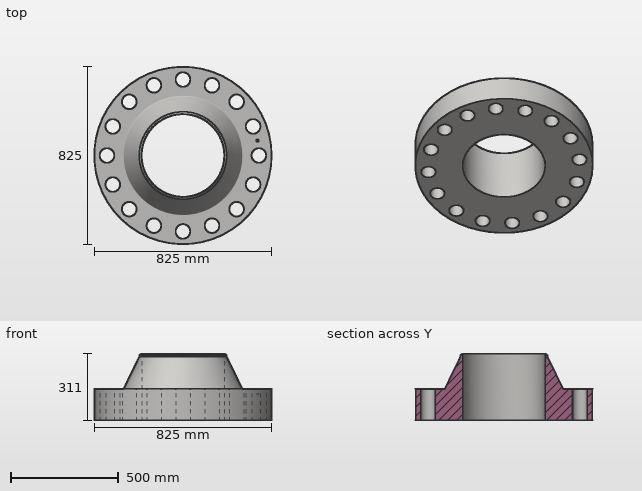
import cadquery as cq
import math

flange_diameter = 825.0
flange_thickness = 147.0
total_height = 311.0

hub_base_diameter = 552.0
neck_diameter = 407.0
bore_diameter = 383.0
hub_base_fillet = 3.0

neck_band_height = 7.5
bevel_height = 7.5
weld_land_width = 2.0

bolt_count = 16
bolt_circle_diameter = 706.0
bolt_hole_diameter = 67.0
bolt_pitch_angle = 360.0 / bolt_count

pin_hole_diameter = 6.0
pin_hole_depth = 25.0
countersink_diameter = 11.5
countersink_depth = 2.5
pin_hole_angle = bolt_pitch_angle / 2

flange_radius = flange_diameter / 2
hub_base_radius = hub_base_diameter / 2
neck_radius = neck_diameter / 2
bore_radius = bore_diameter / 2
bolt_circle_radius = bolt_circle_diameter / 2
pin_hole_radius = pin_hole_diameter / 2
countersink_radius = countersink_diameter / 2
bevel_bottom = total_height - bevel_height
cone_top = bevel_bottom - neck_band_height


def make_body():
    """Revolve the flange, tapered hub and bevelled weld end about Z."""
    profile = (
        cq.Workplane("XZ")
        .moveTo(bore_radius, 0)
        .lineTo(flange_radius, 0)
        .lineTo(flange_radius, flange_thickness)
        .lineTo(hub_base_radius, flange_thickness)
        .lineTo(neck_radius, cone_top)
        .lineTo(neck_radius, bevel_bottom)
        .lineTo(bore_radius + weld_land_width, total_height)
        .lineTo(bore_radius, total_height)
        .close()
    )
    body = profile.revolve(360, (0, 0, 0), (0, 1, 0))
    hub_foot = cq.selectors.RadiusNthSelector(-2)
    return body.edges("%CIRCLE").edges(hub_foot).fillet(hub_base_fillet)


def make_bolt_holes():
    """Through holes spaced evenly on the bolt circle."""
    return (
        cq.Workplane("XY")
        .polarArray(bolt_circle_radius, 0, 360, bolt_count)
        .circle(bolt_hole_diameter / 2)
        .extrude(flange_thickness)
    )


def make_pin_hole():
    """Small countersunk blind hole, sunk from the top face of the flange."""
    angle = math.radians(pin_hole_angle)
    center_x = bolt_circle_radius * math.cos(angle)
    center_y = bolt_circle_radius * math.sin(angle)
    half_section = (
        cq.Workplane("XZ")
        .moveTo(0, 0)
        .lineTo(countersink_radius, 0)
        .lineTo(pin_hole_radius, -countersink_depth)
        .lineTo(pin_hole_radius, -pin_hole_depth)
        .lineTo(0, -pin_hole_depth)
        .close()
    )
    hole = half_section.revolve(360, (0, 0, 0), (0, 1, 0))
    return hole.translate((center_x, center_y, flange_thickness))


result = make_body().cut(make_bolt_holes()).cut(make_pin_hole())